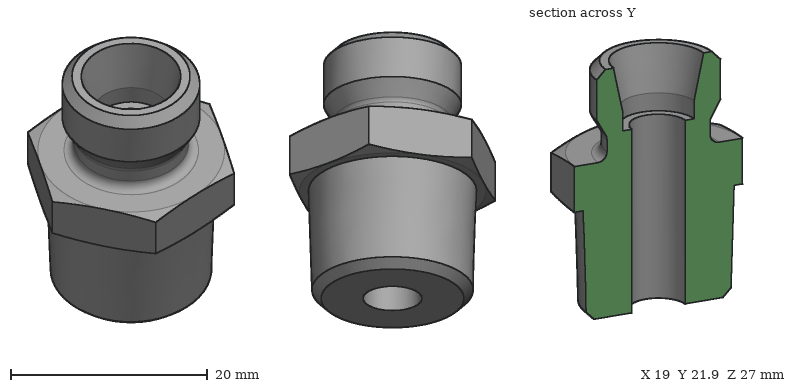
import cadquery as cq
import math

total_height = 27.0
hex_bottom = 12.0
hex_top = 17.0
collar_bottom = 21.6

across_flats = 19.0
hex_chamfer_angle = 15.0

stem_top_diameter = 17.12
stem_taper = 1 / 16
stem_chamfer = 0.95

neck_diameter = 11.7
neck_fillet = 1.0
collar_diameter = 14.0
collar_chamfer = 1.0
collar_cone_angle = 30.0

bore_diameter = 6.0
socket_diameter = 8.0
mouth_diameter = 10.12
cone_half_angle = 12.0
socket_depth = 7.0


def revolve_profile(points):
    """Turn a closed (radius, height) outline about the Z axis."""
    return cq.Workplane("XZ").polyline(points).close().revolve(360, (0, 0), (0, 1))


def make_hexagon():
    """Hexagon with flats facing +X and -X and both ends turned to a cone."""
    across_corners = across_flats / math.cos(math.radians(30))
    height = hex_top - hex_bottom
    prism = (
        cq.Workplane("XY", origin=(0, 0, hex_bottom))
        .polygon(6, across_corners)
        .extrude(height)
        .rotate((0, 0, 0), (0, 0, 1), 30)
    )
    flat_radius = across_flats / 2
    corner_radius = across_corners / 2
    drop = (corner_radius - flat_radius) * math.tan(math.radians(hex_chamfer_angle))
    envelope = revolve_profile([
        (0, hex_bottom),
        (flat_radius, hex_bottom),
        (corner_radius, hex_bottom + drop),
        (corner_radius, hex_top - drop),
        (flat_radius, hex_top),
        (0, hex_top),
    ])
    return prism.intersect(envelope)


def make_stem():
    """Tapered stem below the hexagon, chamfered at its lower end."""
    top_radius = stem_top_diameter / 2
    low_radius = top_radius - stem_taper * (hex_bottom - stem_chamfer) / 2
    return revolve_profile([
        (0, 0),
        (low_radius - stem_chamfer, 0),
        (low_radius, stem_chamfer),
        (top_radius, hex_bottom),
        (0, hex_bottom),
    ])


def make_neck_and_collar():
    """Neck flared into the hexagon, widening to the chamfered collar."""
    neck_radius = neck_diameter / 2
    collar_radius = collar_diameter / 2
    cone_angle = math.radians(collar_cone_angle)
    arc_center_radius = neck_radius + neck_fillet
    cone_foot = collar_bottom - (collar_radius - neck_radius) / math.tan(cone_angle)
    upper_arc_center = cone_foot - neck_fillet * math.tan(cone_angle / 2)

    def arc_point(center_height, angle):
        """Point of a neck fillet, with the angle counted up from the neck wall."""
        return (
            arc_center_radius - neck_fillet * math.cos(angle),
            center_height + neck_fillet * math.sin(angle),
        )

    lower_arc_center = hex_top + neck_fillet
    return (
        cq.Workplane("XZ")
        .moveTo(0, hex_top)
        .lineTo(arc_center_radius, hex_top)
        .threePointArc(
            arc_point(lower_arc_center, -math.pi / 4),
            arc_point(lower_arc_center, 0),
        )
        .lineTo(neck_radius, upper_arc_center)
        .threePointArc(
            arc_point(upper_arc_center, cone_angle / 2),
            arc_point(upper_arc_center, cone_angle),
        )
        .lineTo(collar_radius, collar_bottom)
        .lineTo(collar_radius, total_height - collar_chamfer)
        .lineTo(collar_radius - collar_chamfer, total_height)
        .lineTo(0, total_height)
        .close()
        .revolve(360, (0, 0), (0, 1))
    )


def make_bore():
    """Through bore with a flat-bottomed socket and a conical mouth."""
    bore_radius = bore_diameter / 2
    socket_radius = socket_diameter / 2
    mouth_radius = mouth_diameter / 2
    cone_depth = (mouth_radius - socket_radius) / math.tan(math.radians(cone_half_angle))
    socket_floor = total_height - socket_depth
    return revolve_profile([
        (0, 0),
        (bore_radius, 0),
        (bore_radius, socket_floor),
        (socket_radius, socket_floor),
        (socket_radius, total_height - cone_depth),
        (mouth_radius, total_height),
        (0, total_height),
    ])


body = make_hexagon().union(make_stem()).union(make_neck_and_collar())
result = body.cut(make_bore())